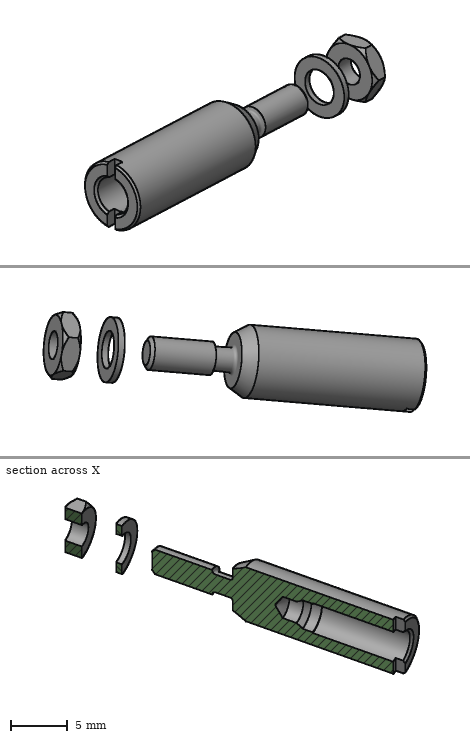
import cadquery as cq
import math

TOTAL_LENGTH = 33.7

BARREL_DIA = 6.5
BARREL_LENGTH = 17.0
BARREL_EDGE_CHAMFER = 0.2
TAPER_LENGTH = 1.3
TAPER_END_DIA = 5.0
NECK_DIA = 2.2
NECK_FILLET = 0.3
RUNOUT_ANGLE = 70.0
RUNOUT_FILLET = 0.2
STUD_DIA = 3.0
STUD_CHAMFER_LENGTH = 0.3
STUD_START = 19.05
STUD_END = 25.05

MOUTH_DIA = 3.98
BORE_DIA = 3.5
BORE_DEPTH = 9.0
CORE_DIA = 3.35
CORE_DEPTH = 10.0
CORE_CONE_ANGLE = 70.0
DRILL_DIA = 2.5
DRILL_DEPTH = 12.0
DRILL_TIP_ANGLE = 118.0

SLOT_WIDTH = 0.9
SLOT_DEPTH = 0.98

WASHER_DIA = 5.8
WASHER_HOLE_DIA = 3.35
WASHER_THICKNESS = 0.6
WASHER_START = 28.0

NUT_ACROSS_FLATS = 5.35
NUT_HOLE_DIA = 2.5
NUT_THICKNESS = 1.7
NUT_CHAMFER_ANGLE = 45.0


def revolve_profile(points):
    """Revolve a closed (radius, Y) outline around the Y axis."""
    return cq.Workplane("XY").polyline(points).close().revolve(360, (0, 0, 0), (0, 1, 0))


def disc(diameter, start, length):
    """Solid cylinder along Y, from Y = start to Y = start + length."""
    return cq.Workplane("XZ", origin=(0, start, 0)).circle(diameter / 2).extrude(-length)


def standoff_blank():
    """Barrel, taper, neck filleted into barrel and runout cone, and stud chamfered to neck size."""
    barrel_radius = BARREL_DIA / 2
    neck_radius = NECK_DIA / 2
    stud_radius = STUD_DIA / 2
    fillet_mid = NECK_FILLET * (1 - math.sqrt(0.5))
    cone_angle = math.radians(RUNOUT_ANGLE)
    cone_foot = STUD_START - (stud_radius - neck_radius) / math.tan(cone_angle)
    tangent_length = RUNOUT_FILLET * math.tan(cone_angle / 2)
    profile = (
        cq.Workplane("XY")
        .moveTo(0, 0)
        .lineTo(barrel_radius - BARREL_EDGE_CHAMFER, 0)
        .lineTo(barrel_radius, BARREL_EDGE_CHAMFER)
        .lineTo(barrel_radius, BARREL_LENGTH - TAPER_LENGTH)
        .lineTo(TAPER_END_DIA / 2, BARREL_LENGTH)
        .lineTo(neck_radius + NECK_FILLET, BARREL_LENGTH)
        .threePointArc(
            (neck_radius + fillet_mid, BARREL_LENGTH + fillet_mid),
            (neck_radius, BARREL_LENGTH + NECK_FILLET),
        )
        .lineTo(neck_radius, cone_foot - tangent_length)
        .tangentArcPoint(
            (neck_radius + tangent_length * math.sin(cone_angle),
             cone_foot + tangent_length * math.cos(cone_angle)),
            relative=False,
        )
        .lineTo(stud_radius, STUD_START)
        .lineTo(stud_radius, STUD_END - STUD_CHAMFER_LENGTH)
        .lineTo(neck_radius, STUD_END)
        .lineTo(0, STUD_END)
        .close()
    )
    return profile.revolve(360, (0, 0, 0), (0, 1, 0))


def blind_hole():
    """Countersunk bore that narrows in a step and a cone to a drilled hole with a conical tip."""
    mouth_radius = MOUTH_DIA / 2
    bore_radius = BORE_DIA / 2
    core_radius = CORE_DIA / 2
    drill_radius = DRILL_DIA / 2
    cone_length = (core_radius - drill_radius) / math.tan(math.radians(CORE_CONE_ANGLE / 2))
    tip_length = drill_radius / math.tan(math.radians(DRILL_TIP_ANGLE / 2))
    return revolve_profile([
        (0, 0),
        (mouth_radius, 0),
        (bore_radius, mouth_radius - bore_radius),
        (bore_radius, BORE_DEPTH),
        (core_radius, BORE_DEPTH),
        (core_radius, CORE_DEPTH),
        (drill_radius, CORE_DEPTH + cone_length),
        (drill_radius, DRILL_DEPTH),
        (0, DRILL_DEPTH + tip_length),
    ])


def screwdriver_slot():
    return cq.Workplane("XY").box(SLOT_WIDTH, 2 * SLOT_DEPTH, 2 * BARREL_DIA)


def make_standoff():
    return standoff_blank().cut(blind_hole()).cut(screwdriver_slot())


def make_washer():
    ring = disc(WASHER_DIA, WASHER_START, WASHER_THICKNESS)
    return ring.cut(disc(WASHER_HOLE_DIA, WASHER_START, WASHER_THICKNESS))


def make_nut():
    """Hexagon nut with flats facing +Z and -Z and both ends chamfered by a cone."""
    start = TOTAL_LENGTH - NUT_THICKNESS
    across_corners = NUT_ACROSS_FLATS / math.cos(math.radians(30))
    hexagon = (
        cq.Workplane("XZ", origin=(0, start, 0))
        .polygon(6, across_corners)
        .extrude(-NUT_THICKNESS)
    )
    corner_radius = across_corners / 2
    face_radius = NUT_ACROSS_FLATS / 2
    chamfer_length = (corner_radius - face_radius) * math.tan(math.radians(NUT_CHAMFER_ANGLE))
    chamfer_envelope = revolve_profile([
        (0, start),
        (face_radius, start),
        (corner_radius, start + chamfer_length),
        (corner_radius, TOTAL_LENGTH - chamfer_length),
        (face_radius, TOTAL_LENGTH),
        (0, TOTAL_LENGTH),
    ])
    return hexagon.intersect(chamfer_envelope).cut(disc(NUT_HOLE_DIA, start, NUT_THICKNESS))


standoff = make_standoff()
washer = make_washer()
nut = make_nut()

result = cq.Compound.makeCompound([standoff.val(), washer.val(), nut.val()])